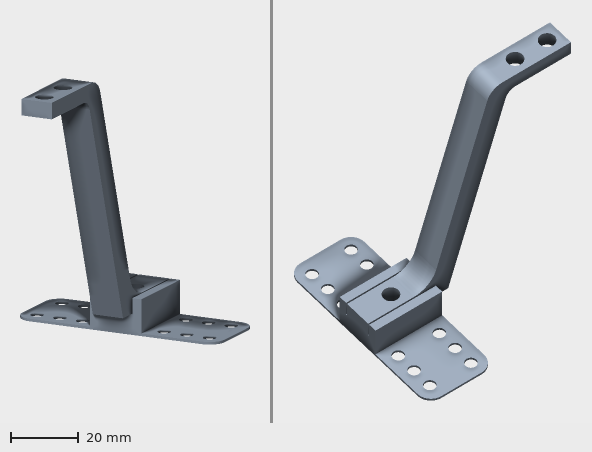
import cadquery as cq
import math

plate_length = 67.0
plate_depth = 25.0
plate_thickness = 0.8
plate_corner_radius = 5.0
plate_back = plate_depth / 2

fixing_diameter = 4.0
fixing_pitch = 7.5
fixings_per_row = 3
fixing_edge_distance = 5.0
fixing_row_y = plate_depth / 2 - fixing_edge_distance
front_row_outer_x = plate_length / 2 - fixing_edge_distance
back_row_inset = 0.5
back_row_outer_x = front_row_outer_x - back_row_inset

arm_width = 10.0
arm_thickness = 5.0
arm_bolt_diameter = 5.5
foot_length = 30.0
leg_length = 75.0
leg_horizontal_width = 8.0
overall_height = 82.78
overall_depth = 75.99
foot_bend_radius = 8.6
head_outer_radius = 6.0
head_inner_radius = 4.0
head_hole_pitch = 12.0
head_hole_end_distance = arm_width / 2

side_clearance = 0.5
channel_width = arm_width + 2 * side_clearance
wall_thickness = 3.0
block_width = channel_width + 2 * wall_thickness
channel_floor = 6.2
block_top = channel_floor + arm_thickness

foot_front = plate_back - foot_length
head_underside = overall_height - arm_thickness
head_front = plate_back - overall_depth
leg_rise = head_underside - channel_floor
leg_run = math.sqrt(leg_length**2 - leg_rise**2)


def leg_front_y(z):
    """Y of the front face of the leaning leg at height z."""
    return foot_front - leg_run * (z - channel_floor) / leg_rise


def leg_back_y(z):
    """Y of the back face of the leaning leg at height z."""
    return leg_front_y(z) + leg_horizontal_width


def fixing_points():
    """Centres of the plate fixing holes, mirrored about X = 0."""
    points = []
    rows = ((-fixing_row_y, front_row_outer_x), (fixing_row_y, back_row_outer_x))
    for row_y, outer_x in rows:
        for index in range(fixings_per_row):
            x = outer_x - index * fixing_pitch
            points.append((x, row_y))
            points.append((-x, row_y))
    return points


def make_base():
    """Thin rounded plate with a U-channel block and its holes."""
    plate = (
        cq.Workplane("XY")
        .rect(plate_length, plate_depth)
        .extrude(plate_thickness)
        .edges("|Z")
        .fillet(plate_corner_radius)
    )
    block = cq.Workplane("XY").rect(block_width, plate_depth).extrude(block_top)
    channel = (
        cq.Workplane("XY")
        .workplane(offset=channel_floor)
        .rect(channel_width, plate_depth)
        .extrude(arm_thickness)
    )
    fixing_holes = (
        cq.Workplane("XY")
        .pushPoints(fixing_points())
        .circle(fixing_diameter / 2)
        .extrude(plate_thickness)
    )
    bolt_hole = cq.Workplane("XY").circle(arm_bolt_diameter / 2).extrude(block_top)
    return plate.union(block).cut(channel).cut(fixing_holes).cut(bolt_hole)


def fillet_bend(arm, y, z, radius):
    """Round the edge of the arm that runs along X through (y, z)."""
    return arm.edges(cq.selectors.NearestToPointSelector((0, y, z))).fillet(radius)


def make_arm():
    """Bent arm extruded along X, with rounded bends and bolt holes."""
    profile = [
        (plate_back, channel_floor),
        (foot_front, channel_floor),
        (leg_front_y(head_underside), head_underside),
        (head_front, head_underside),
        (head_front, overall_height),
        (leg_back_y(overall_height), overall_height),
        (leg_back_y(block_top), block_top),
        (plate_back, block_top),
    ]
    arm = cq.Workplane("YZ").polyline(profile).close().extrude(arm_width / 2, both=True)
    arm = fillet_bend(arm, leg_back_y(block_top), block_top, foot_bend_radius)
    arm = fillet_bend(arm, leg_back_y(overall_height), overall_height, head_outer_radius)
    arm = fillet_bend(arm, leg_front_y(head_underside), head_underside, head_inner_radius)

    end_hole_y = head_front + head_hole_end_distance
    bolt_holes = (
        cq.Workplane("XY")
        .pushPoints([(0, 0), (0, end_hole_y), (0, end_hole_y + head_hole_pitch)])
        .circle(arm_bolt_diameter / 2)
        .extrude(overall_height)
    )
    return arm.cut(bolt_holes)


base = make_base()
arm = make_arm()
result = cq.Compound.makeCompound([base.solids().val(), arm.solids().val()])